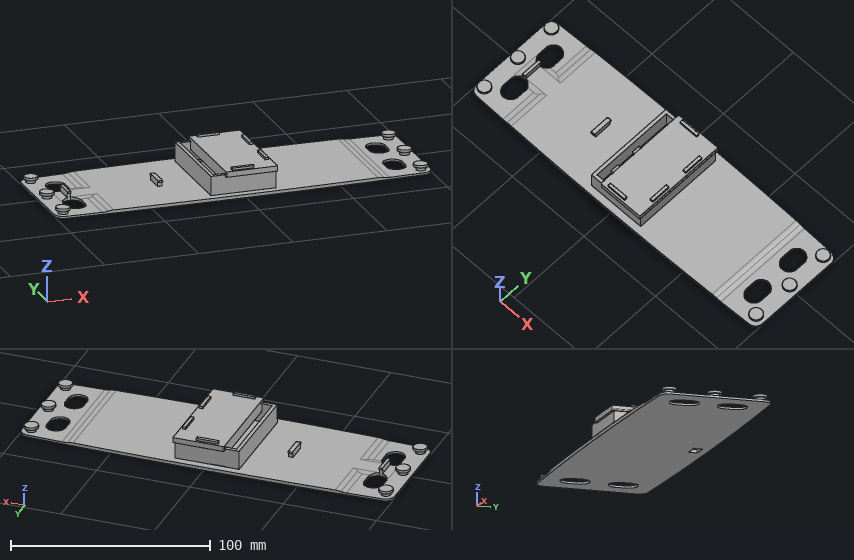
import cadquery as cq
import math

strap_length = 200.0
strap_half_width = 31.0
end_half_width = 29.2
flat_edge_left = -5.0
flat_edge_right = 4.2
corner_radius = 5.0
middle_thickness = 1.8
end_thickness = 1.2
step_inner = 70.2
step_run = 6.0

slot_width = 10.0
slot_length = 15.2
slot_x = 85.0
slot_y = 12.7
stud_x = 95.0
stud_pitch = 24.0
stud_neck_diameter = 5.0
stud_head_diameter = 7.2
stud_head_bulge = 0.2
stud_head_bottom = 3.0
stud_top = 4.5

tongue_left = -90.2
tongue_half_width = 5.0
tongue_side_run = 3.0

bar_length = 12.5
bar_foot_length = 10.5
bar_top = 5.0
bar_lip_middle = 4.5
bar_lip_bottom = 3.8
bar_crown_length = 11.5
front_bar_x = -85.2
front_bar_width = 1.8
rear_bar_x = -36.8
rear_bar_width = 2.5

box_left = -17.5
box_right = 17.0
box_half_width = 26.8
box_top = 12.0
box_wall = 2.0
cavity_left = box_left + box_wall
cavity_right = box_right - box_wall
cavity_half_width = box_half_width - box_wall
contact_height = 4.0
contact_width = 4.8
contacts = [(2.8, 3.0), (-12.5, 2.5)]
wire_hole_left = -10.2
wire_hole_length = 8.0
wire_hole_near = 22.0
wire_hole_far = 26.5

lid_left = -9.8
lid_right = 17.5
lid_half_width = 28.0
lid_top = 13.8
skirt_bottom = 11.0
plug_bottom = 7.5
lid_corner_chamfer = 0.5
rib_top = 15.0
rib_width = 1.8
rib_length = 11.5
side_rib_x = -0.2
side_rib_y = 25.8
end_rib_x = 15.5
end_rib_y = 11.8


def block(x_min, x_max, y_min, y_max, z_min, z_max):
    """A box given by its limits along each axis."""
    return (
        cq.Workplane("XY", origin=(0, 0, z_min))
        .moveTo((x_min + x_max) / 2, (y_min + y_max) / 2)
        .rect(x_max - x_min, y_max - y_min)
        .extrude(z_max - z_min)
    )


def level_arc(x, height, run, rise):
    """Middle and end points of an arc that leaves (x, height) level and then rises or falls over run."""
    radius = (run**2 + rise**2) / (2 * rise)
    sag = radius - math.copysign(math.sqrt(radius**2 - (run / 2) ** 2), radius)
    return (x + run / 2, height + sag), (x + run, height + rise)


def strap_outline(height):
    """The strap's plan shape: long edges that curve slightly inwards towards rounded ends."""
    half_length = strap_length / 2
    drop = strap_half_width - end_half_width
    left_run = half_length + flat_edge_left
    left_arc_middle, left_arc_end = level_arc(flat_edge_left, strap_half_width, -left_run, -drop)
    upper_half = (
        cq.Workplane("XY")
        .moveTo(*left_arc_end)
        .threePointArc(left_arc_middle, (flat_edge_left, strap_half_width))
        .lineTo(flat_edge_right, strap_half_width)
        .tangentArcPoint((half_length, end_half_width), relative=False)
        .lineTo(half_length, 0)
        .lineTo(-half_length, 0)
        .close()
        .extrude(height)
    )
    lower_half = upper_half.mirror("XZ")
    return upper_half.union(lower_half).edges("|Z and (<X or >X)").fillet(corner_radius)


def make_raised_middle():
    """The thicker middle, whose top eases down at both ends by an S-shaped step of two arcs."""
    step_outer = step_inner + step_run
    step_middle = step_inner + step_run / 2
    half_rise = (middle_thickness - end_thickness) / 2
    profile = (
        cq.Workplane("XZ", origin=(0, strap_half_width, 0))
        .moveTo(-step_outer, 0)
        .lineTo(-step_outer, end_thickness)
        .threePointArc(*level_arc(-step_outer, end_thickness, step_run / 2, half_rise))
        .tangentArcPoint((-step_inner, middle_thickness), relative=False)
        .lineTo(step_inner, middle_thickness)
        .tangentArcPoint((step_middle, end_thickness + half_rise), relative=False)
        .tangentArcPoint((step_outer, end_thickness), relative=False)
        .lineTo(step_outer, 0)
        .close()
        .extrude(2 * strap_half_width)
    )
    return profile.intersect(strap_outline(middle_thickness))


def make_tongue():
    """The raised tongue: sloping sides, and a front that curves up to the front locking bar."""
    foot_half_width = tongue_half_width + tongue_side_run
    tongue_right = -step_inner
    front_run = front_bar_x - front_bar_width / 2 - tongue_left
    rise = middle_thickness - end_thickness
    ridge = (
        cq.Workplane("YZ", origin=(tongue_left, 0, 0))
        .polyline([
            (-foot_half_width, 0),
            (-foot_half_width, end_thickness),
            (-tongue_half_width, middle_thickness),
            (tongue_half_width, middle_thickness),
            (foot_half_width, end_thickness),
            (foot_half_width, 0),
        ])
        .close()
        .extrude(tongue_right - tongue_left)
    )
    profile = (
        cq.Workplane("XZ", origin=(0, foot_half_width, 0))
        .moveTo(tongue_left, 0)
        .lineTo(tongue_left, end_thickness)
        .threePointArc(*level_arc(tongue_left, end_thickness, front_run, rise))
        .lineTo(tongue_right, middle_thickness)
        .lineTo(tongue_right, 0)
        .close()
        .extrude(2 * foot_half_width)
    )
    return ridge.intersect(profile)


def make_strap():
    """The plate with its raised middle, its tongue and two slots at each end."""
    strap = strap_outline(end_thickness).union(make_raised_middle())
    slots = (
        cq.Workplane("XY")
        .pushPoints([(x, y) for x in (-slot_x, slot_x) for y in (-slot_y, slot_y)])
        .slot2D(slot_length, slot_width, 90)
        .extrude(middle_thickness)
    )
    return strap.union(make_tongue()).cut(slots)


def make_stud(x, y):
    """A snap stud: a round neck under a wider head with a bulging rim."""
    neck_radius = stud_neck_diameter / 2
    head_radius = stud_head_diameter / 2
    rim_middle = (head_radius + stud_head_bulge, (stud_head_bottom + stud_top) / 2)
    return (
        cq.Workplane("XZ")
        .moveTo(0, 0)
        .lineTo(neck_radius, 0)
        .lineTo(neck_radius, stud_head_bottom)
        .lineTo(head_radius, stud_head_bottom)
        .threePointArc(rim_middle, (head_radius, stud_top))
        .lineTo(0, stud_top)
        .close()
        .revolve(360, (0, 0, 0), (0, 1, 0))
        .translate((x, y, 0))
    )


def make_bar(x, width):
    """A locking bar across the strap whose ends flare out into a lip near the top."""
    foot = bar_foot_length / 2
    lip = bar_length / 2
    crown = bar_crown_length / 2
    return (
        cq.Workplane("YZ", origin=(x - width / 2, 0, 0))
        .polyline([
            (-foot, 0),
            (-foot, bar_lip_bottom),
            (-lip, bar_lip_middle),
            (-crown, bar_top),
            (crown, bar_top),
            (lip, bar_lip_middle),
            (foot, bar_lip_bottom),
            (foot, 0),
        ])
        .close()
        .extrude(width)
    )


def make_box_walls():
    """The four walls of the box."""
    outside = block(box_left, box_right, -box_half_width, box_half_width, 0, box_top)
    return outside.cut(make_cavity())


def make_cavity():
    """The space inside the box, down to the strap's top face."""
    return block(cavity_left, cavity_right, -cavity_half_width, cavity_half_width, middle_thickness, box_top)


def make_contact(y, length):
    """A small block standing on the cavity floor against the left wall."""
    half = contact_width / 2
    return block(cavity_left, cavity_left + length, y - half, y + half, 0, contact_height)


def make_wire_hole():
    """A rectangular hole through the cavity floor, in the corner beside the back wall."""
    return block(
        wire_hole_left,
        wire_hole_left + wire_hole_length,
        wire_hole_near,
        wire_hole_far,
        0,
        middle_thickness,
    )


def make_base():
    """The strap with its studs, bars and box, all in one piece."""
    base = make_strap()
    for x in (-stud_x, stud_x):
        for y in (-stud_pitch, 0, stud_pitch):
            base = base.union(make_stud(x, y))
    base = base.union(make_bar(front_bar_x, front_bar_width))
    base = base.union(make_bar(rear_bar_x, rear_bar_width))
    base = base.union(make_box_walls())
    for y, length in contacts:
        base = base.union(make_contact(y, length))
    return base.cut(make_wire_hole())


def make_rib(x, y, x_size, y_size):
    """A grip rib on top of the lid."""
    return block(x - x_size / 2, x + x_size / 2, y - y_size / 2, y + y_size / 2, skirt_bottom, rib_top)


def make_lid():
    """The cap over the box, with its skirt, plug and grip ribs."""
    cap = block(lid_left, lid_right, -lid_half_width, lid_half_width, skirt_bottom, lid_top)
    cap = cap.edges("|Z and <X").chamfer(lid_corner_chamfer)
    for side in (-1, 1):
        cap = cap.union(make_rib(side_rib_x, side * side_rib_y, rib_length, rib_width))
        cap = cap.union(make_rib(end_rib_x, side * end_rib_y, rib_width, rib_length))
    box_outside = block(box_left, box_right, -box_half_width, box_half_width, 0, box_top)
    plug = block(lid_left, cavity_right, -cavity_half_width, cavity_half_width, plug_bottom, box_top)
    return cap.cut(box_outside).union(plug)


base = make_base()
lid = make_lid()
result = cq.Compound.makeCompound([base.val(), lid.val()])